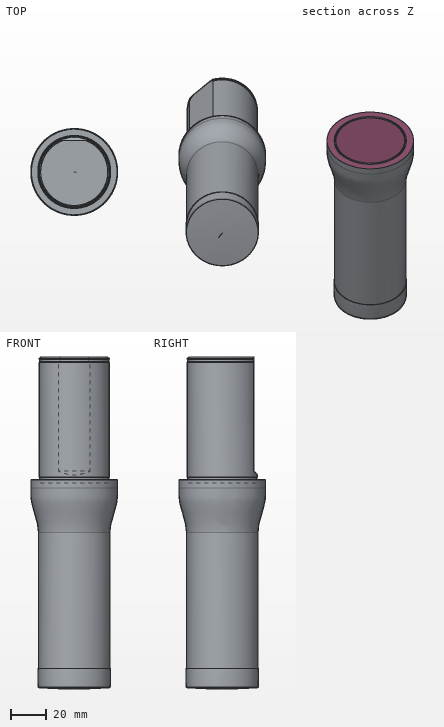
import cadquery as cq

total_height = 189.0
collar_top = 119.3

handle_radius = 40.8 / 2
collar_radius = 49.5 / 2
collar_edge_chamfer = 0.4
socket_radius = 40.8 / 2
socket_depth = 1.9
socket_chamfer = 0.4
socket_floor = collar_top - socket_depth
collar_band_bottom = 114.3
bulb_mid_height = 102.0
bulb_mid_radius = 23.2
bulb_waist_height = 94.1
bulb_waist_radius = 21.0
bulb_bottom = 89.2
base_ring_top = 11.7
base_ring_mid_height = 6.5
base_ring_radius = 20.6
base_ring_mid_radius = 20.8
base_ring_bottom = 1.5
base_rim_height = 0.8
base_rim_radius = 20.5

barrel_radius = 40.0 / 2
groove_radius = 39.5 / 2
neck_height = 1.1
edge_chamfer = 0.4
top_groove_bottom = 186.4
top_groove_top = 187.5
rim_chamfer_height = 1.0
top_face_radius = 19.0

flat_distance = 18.0
flat_bottom = 124.0
flat_runout = barrel_radius - flat_distance


def make_handle():
    """Revolve the grip with its domed base, base ring, bulb and socketed collar."""
    profile = (
        cq.Workplane("XZ")
        .moveTo(0, 0)
        .threePointArc((base_rim_radius / 2, base_rim_height / 4), (base_rim_radius, base_rim_height))
        .lineTo(base_ring_radius, base_ring_bottom)
        .threePointArc((base_ring_mid_radius, base_ring_mid_height), (base_ring_radius, base_ring_top))
        .lineTo(handle_radius, base_ring_top)
        .lineTo(handle_radius, bulb_bottom)
        .spline(
            [
                (bulb_waist_radius, bulb_waist_height),
                (bulb_mid_radius, bulb_mid_height),
                (collar_radius, collar_band_bottom),
            ],
            tangents=[(0, 1), (0, 1)],
            includeCurrent=True,
        )
        .lineTo(collar_radius, collar_top - collar_edge_chamfer)
        .lineTo(collar_radius - collar_edge_chamfer, collar_top)
        .lineTo(socket_radius + socket_chamfer, collar_top)
        .lineTo(socket_radius, collar_top - socket_chamfer)
        .lineTo(socket_radius, socket_floor)
        .lineTo(0, socket_floor)
        .close()
    )
    return profile.revolve(360, (0, 0, 0), (0, 1, 0))


def make_flat_cutter():
    """Block that trims the barrel flat, ending in a 45 degree slope."""
    outer_y = flat_distance + 2 * flat_runout
    return (
        cq.Workplane("YZ")
        .moveTo(flat_distance, total_height)
        .lineTo(flat_distance, flat_bottom)
        .lineTo(outer_y, flat_bottom - 2 * flat_runout)
        .lineTo(outer_y, total_height)
        .close()
        .extrude(barrel_radius, both=True)
    )


def make_barrel():
    """Revolve the barrel with its neck and top groove, then trim the flat."""
    neck_top = collar_top + neck_height
    barrel = (
        cq.Workplane("XZ")
        .moveTo(0, socket_floor)
        .lineTo(groove_radius, socket_floor)
        .lineTo(groove_radius, neck_top)
        .lineTo(barrel_radius - edge_chamfer, neck_top)
        .lineTo(barrel_radius, neck_top + edge_chamfer)
        .lineTo(barrel_radius, top_groove_bottom - edge_chamfer)
        .lineTo(barrel_radius - edge_chamfer, top_groove_bottom)
        .lineTo(groove_radius, top_groove_bottom)
        .lineTo(groove_radius, top_groove_top)
        .lineTo(barrel_radius - edge_chamfer, top_groove_top)
        .lineTo(barrel_radius, top_groove_top + edge_chamfer)
        .lineTo(barrel_radius, total_height - rim_chamfer_height)
        .lineTo(top_face_radius, total_height)
        .lineTo(0, total_height)
        .close()
        .revolve(360, (0, 0, 0), (0, 1, 0))
    )
    return barrel.cut(make_flat_cutter())


handle = make_handle()
barrel = make_barrel()

result = cq.Compound.makeCompound([handle.val(), barrel.val()])